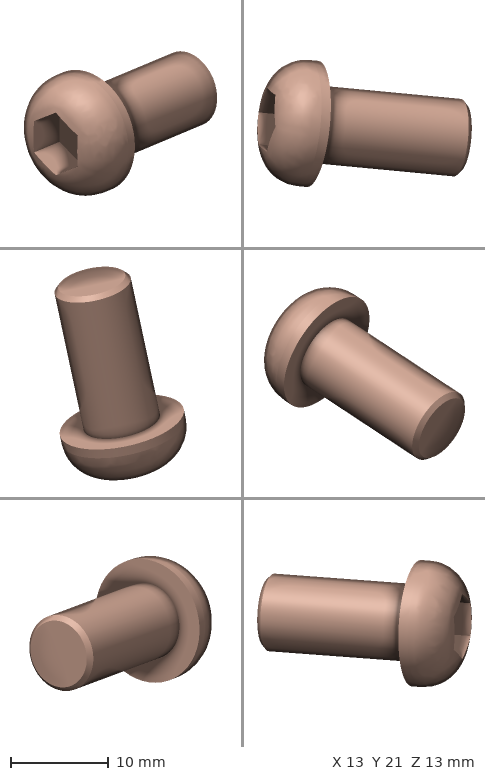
import cadquery as cq
import math

total_length = 20.97
shank_length = 16.0
shank_diameter = 8.0
tip_chamfer = 0.48
head_diameter = 13.0
dome_radius = 4.0
socket_across_flats = 6.0
socket_depth = 4.03

head_radius = head_diameter / 2
shank_radius = shank_diameter / 2

face_radius = head_radius - dome_radius
flat_offset = socket_across_flats / 2 - face_radius
rim_y = math.sqrt(dome_radius**2 - flat_offset**2)
face_y = rim_y - dome_radius
seat_y = total_length - shank_length


def make_body():
    """Revolve the head and shank half-profile around the Y axis."""
    arc_step = dome_radius * math.sqrt(0.5)
    profile = (
        cq.Workplane("XY")
        .moveTo(0, face_y)
        .lineTo(face_radius, face_y)
        .threePointArc((face_radius + arc_step, rim_y - arc_step), (head_radius, rim_y))
        .lineTo(head_radius, seat_y)
        .lineTo(shank_radius, seat_y)
        .lineTo(shank_radius, total_length - tip_chamfer)
        .lineTo(shank_radius - tip_chamfer, total_length)
        .lineTo(0, total_length)
        .close()
    )
    return profile.revolve(360, (0, 0, 0), (0, 1, 0))


def make_socket():
    """Hexagonal key socket with two corners on the Z direction."""
    across_corners = socket_across_flats / math.cos(math.radians(30))
    return (
        cq.Workplane("XZ", origin=(0, face_y, 0))
        .polygon(6, across_corners)
        .extrude(-(socket_depth - face_y))
        .rotate((0, 0, 0), (0, 1, 0), 30)
    )


result = make_body().cut(make_socket())